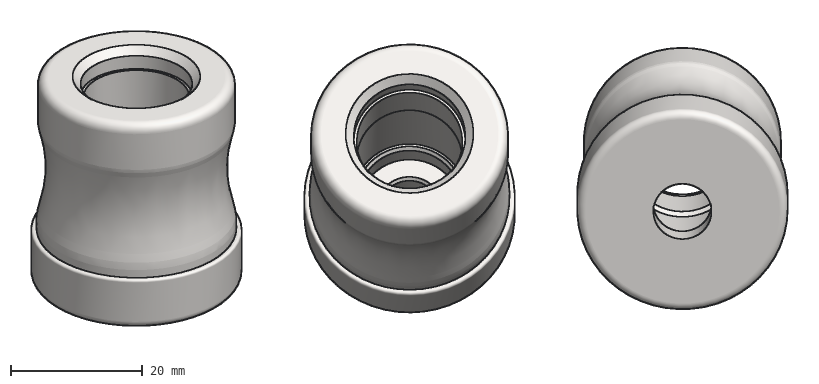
import cadquery as cq

height = 35.0

foot_radius = 16.0
foot_height = 8.5
foot_bottom_fillet = 1.25
foot_top_fillet = 0.4
hole_radius = 4.4
hole_chamfer = 0.45
recess_radius = 7.65
recess_chamfer = 0.5
recess_floor_z = 4.2

collar_radius = 14.98
skirt_radius = 15.2
collar_bottom_z = 26.95
skirt_top_z = 10.45
waist_radius = 13.8
waist_top_radius = 14.65
waist_top_z = 25.75
waist_bottom_radius = 14.75
waist_bottom_z = 12.4
collar_top_fillet = 1.5
collar_bottom_fillet = 2.45
skirt_top_fillet = 5.25

counterbore_radius = 8.47
counterbore_depth = 3.5
counterbore_chamfer = 1.22
bore_radius = 8.0
bore_end_depth = 10.92
flare_width = 0.52
flare_height = 0.98
chamber_radius = bore_radius + flare_width


def disc(radius, bottom_z, top_z):
    """Solid cylinder on the Z axis."""
    return cq.Workplane("XY").workplane(offset=bottom_z).circle(radius).extrude(top_z - bottom_z)


def revolve_about_z(outline):
    """Close an outline of (radius, z) points and turn it about the Z axis."""
    return outline.close().revolve(360, (0, 0, 0), (0, 1, 0))


def make_foot():
    foot = disc(foot_radius, 0, foot_height)
    foot = foot.faces("<Z").edges().fillet(foot_bottom_fillet)
    foot = foot.faces(">Z").edges().fillet(foot_top_fillet)
    recess_profile = [
        (0, 0),
        (hole_radius, 0),
        (hole_radius, recess_floor_z - hole_chamfer),
        (hole_radius + hole_chamfer, recess_floor_z),
        (recess_radius, recess_floor_z),
        (recess_radius, foot_height - recess_chamfer),
        (recess_radius + recess_chamfer, foot_height),
        (0, foot_height),
    ]
    return foot.cut(revolve_about_z(cq.Workplane("XZ").polyline(recess_profile)))


def edge_at_height(z):
    """Selector for the circular edges lying at the given height."""
    margin = 0.05
    reach = foot_radius + margin
    return cq.selectors.BoxSelector(
        (-reach, -reach, z - margin), (reach, reach, z + margin), boundingbox=True
    )


def make_grip_blank():
    waist_middle_z = (waist_top_z + waist_bottom_z) / 2
    outline = (
        cq.Workplane("XZ")
        .moveTo(0, foot_height)
        .lineTo(skirt_radius, foot_height)
        .lineTo(skirt_radius, skirt_top_z)
        .lineTo(waist_bottom_radius, waist_bottom_z)
        .threePointArc((waist_radius, waist_middle_z), (waist_top_radius, waist_top_z))
        .lineTo(collar_radius, collar_bottom_z)
        .lineTo(collar_radius, height)
        .lineTo(0, height)
    )
    blank = revolve_about_z(outline)
    blank = blank.edges(edge_at_height(height)).fillet(collar_top_fillet)
    blank = blank.edges(edge_at_height(collar_bottom_z)).fillet(collar_bottom_fillet)
    return blank.edges(edge_at_height(skirt_top_z)).fillet(skirt_top_fillet)


def make_grip_bore():
    bore_end_z = height - bore_end_depth
    counterbore_z = height - counterbore_depth
    profile = [
        (0, foot_height),
        (chamber_radius, foot_height),
        (chamber_radius, bore_end_z - flare_height),
        (bore_radius, bore_end_z),
        (bore_radius, counterbore_z),
        (counterbore_radius, counterbore_z),
        (counterbore_radius, height - counterbore_chamfer),
        (counterbore_radius + counterbore_chamfer, height),
        (0, height),
    ]
    return revolve_about_z(cq.Workplane("XZ").polyline(profile))


foot = make_foot()
grip = make_grip_blank().cut(make_grip_bore())

result = cq.Compound.makeCompound([foot.val(), grip.val()])